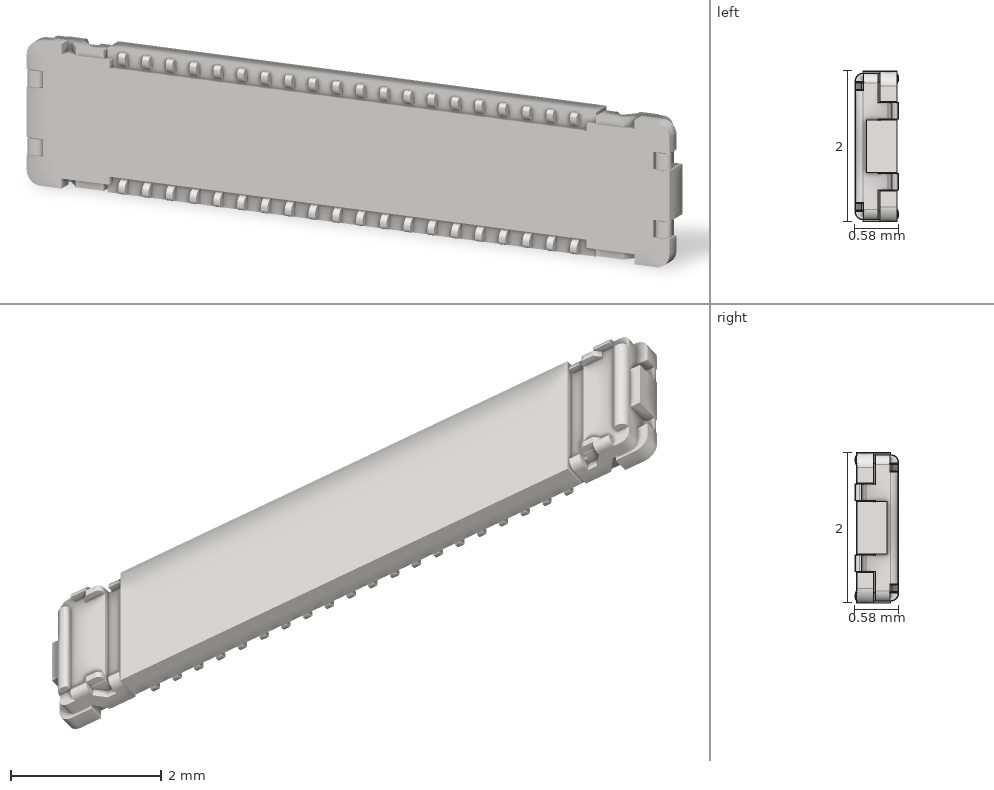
import math

import cadquery as cq


half_length = 4.725
half_width = 1.0
base_bottom = 0.02
base_top = 0.25
corner_radius = 0.2
row_top = 0.47
row_end = -3.59
end_block_half_width = 0.35
end_block_top = 0.425
end_block_depth = 0.19
core_end = -3.85
core_half_width = 0.86
core_top = 0.46
saddle_top = 0.37
post_inner_z = 0.76
post_outer_z = 0.85
post_length = 0.31
post_round = 0.085
post_chamfer = 0.085

notch_start = -4.21
window_width = 0.25
window_depth = 0.24

contacts_per_row = 20
pitch = 0.35
contact_width = 0.09
contact_tip_gap = 0.024
contact_back_gap = 0.04
contact_embed = 0.02
recess_half_length = 3.51
recess_depth = 0.255
recess_top = 0.13

shell_end = -4.57
shell_half_width = 0.97
shell_thickness = shell_half_width - core_half_width
shell_bottom = 0.27
shell_corner_radius = 0.13
shell_top = 0.58
strap_bottom = 0.08
strap_slope_top = 0.42
strap_end = -3.62
tab_start = -3.79
tab_round = 0.13
tab_overlap = 0.03
slope_start = -4.19
slope_end = -4.03
side_lip_start = -4.33
side_lip_end = -4.07
side_lip_round = 0.1
end_lip_round = 0.1
end_lip_half_width = 0.75
end_lip_depth = 0.19
end_lip_inner_round = 0.06
foot_clearance = 0.014

lead_thickness = 0.085
outer_bend = 0.11
inner_bend = 0.06
foot_tip_round = 0.06


def box(x0, x1, y0, y1, z0, z1):
    return cq.Workplane("XY").box(x1 - x0, y1 - y0, z1 - z0, centered=False).translate((x0, y0, z0))


def lead_foot(plane, place, back, tip, root_top):
    """Outline of a lead that drops to the board and bends outward.

    back and tip are distances outward of the lead's rear face and of its end;
    place turns (outward, height) into the plane's own coordinates.
    """
    front = back + lead_thickness
    cos45 = math.cos(math.pi / 4)

    def bend_middle(radius, out, height):
        return place(out + radius * cos45, height + radius * cos45)

    outer_middle = bend_middle(-outer_bend, back + outer_bend, outer_bend)
    tip_inset = foot_tip_round * (1 - cos45)
    tip_middle = place(tip - tip_inset, tip_inset)
    inner_middle = bend_middle(-inner_bend, front + inner_bend, lead_thickness + inner_bend)
    return (
        cq.Workplane(plane)
        .moveTo(*place(back, root_top))
        .lineTo(*place(back, outer_bend))
        .threePointArc(outer_middle, place(back + outer_bend, 0))
        .lineTo(*place(tip - foot_tip_round, 0))
        .threePointArc(tip_middle, place(tip, foot_tip_round))
        .lineTo(*place(tip, lead_thickness))
        .lineTo(*place(front + inner_bend, lead_thickness))
        .threePointArc(inner_middle, place(front, lead_thickness + inner_bend))
        .lineTo(*place(front, root_top))
        .close()
    )


def housing():
    base = box(-half_length, 0, base_bottom, base_top, 0, half_width)
    base = base.edges("|Y and <X and >Z").fillet(corner_radius)
    base = base.cut(box(notch_start, -recess_half_length, 0, base_top, core_half_width, half_width))
    row = box(row_end, 0, recess_top, row_top, 0, half_width)
    core = box(shell_end + shell_thickness, core_end, base_bottom, core_top, 0, core_half_width)
    saddle = box(core_end, row_end, base_bottom, saddle_top, 0, core_half_width)
    body = base.union(row).union(core).union(saddle).union(post())

    window = box(
        -half_length,
        -half_length + window_depth,
        0,
        shell_bottom,
        end_block_half_width,
        end_block_half_width + window_width,
    )
    recess = box(-recess_half_length, 0, 0, recess_top, half_width - recess_depth, half_width)
    end_block = box(
        -half_length,
        -half_length + end_block_depth,
        base_bottom,
        end_block_top,
        0,
        end_block_half_width,
    )
    return body.cut(window).cut(recess).union(end_block)


def post():
    block = box(core_end - post_length, core_end, core_top, shell_top, post_inner_z, post_outer_z)
    block = block.edges(">X and >Y").fillet(post_round)
    return block.edges("<X and >Y").chamfer(post_chamfer)


def contacts():
    back = half_width - recess_depth + contact_back_gap
    tip = half_width - contact_tip_gap
    root_top = recess_top + contact_embed
    feet = cq.Workplane("YZ")
    for i in range(contacts_per_row // 2):
        middle = -(i + 0.5) * pitch
        foot = lead_foot("YZ", lambda out, height: (height, out), back, tip, root_top)
        feet = feet.union(foot.extrude(contact_width).translate((middle - contact_width / 2, 0, 0)))
    return feet


def end_foot():
    back = half_length - window_depth
    outline = lead_foot("XY", lambda out, height: (-out, height), back, half_length, core_top)
    width = window_width - 2 * foot_clearance
    return outline.extrude(width).translate((0, 0, end_block_half_width + foot_clearance))


def shell():
    strap = (
        cq.Workplane("XY", origin=(0, 0, core_half_width))
        .polyline(
            [
                (shell_end, shell_bottom),
                (slope_start, shell_bottom),
                (slope_end, strap_bottom),
                (strap_end, strap_bottom),
                (strap_end, shell_bottom),
                (side_lip_end + strap_slope_top - shell_bottom, shell_bottom),
                (side_lip_end, strap_slope_top),
                (side_lip_end, core_top),
                (shell_end, core_top),
            ]
        )
        .close()
        .extrude(shell_thickness)
    )
    end_plate = box(shell_end, shell_end + shell_thickness, shell_bottom, core_top, 0, shell_half_width)
    wrap = strap.union(end_plate).edges("|Y and <X and >Z").fillet(shell_corner_radius)

    tab = box(tab_start, strap_end, shell_bottom, row_top, core_half_width - tab_overlap, shell_half_width)
    tab = tab.edges(">Y and >Z").fillet(tab_round)

    side_lip = box(side_lip_start, side_lip_end, core_top, shell_top, core_half_width, shell_half_width)
    side_lip = side_lip.edges(">Y and >Z").fillet(side_lip_round)

    end_lip = box(shell_end, shell_end + end_lip_depth, core_top, shell_top, 0, end_lip_half_width)
    end_lip = end_lip.edges("<X and >Y").fillet(end_lip_round)
    end_lip = end_lip.edges(">X and >Y").fillet(end_lip_inner_round)
    return wrap.union(tab).union(side_lip).union(end_lip)


quarter = housing().union(shell()).union(end_foot()).union(contacts())
half = quarter.union(quarter.mirror("YZ"))
result = half.union(half.mirror("XY")).clean()